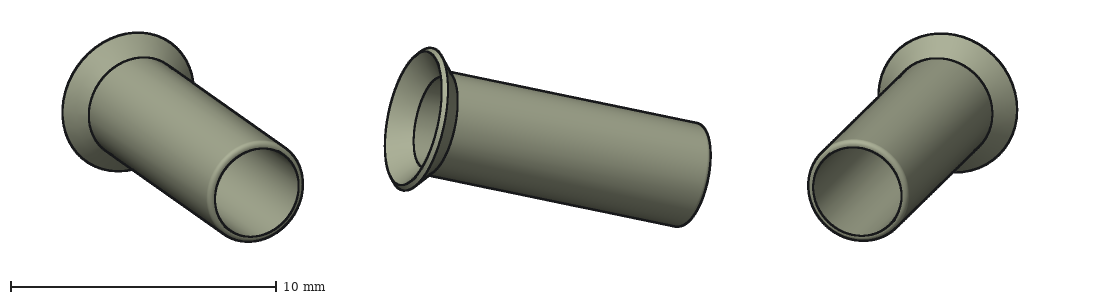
import cadquery as cq
import math

length = 11.5
flare_diameter = 5.5
tube_diameter = 4.0
wall = 0.25
tip_radius = 0.2

flare_radius = flare_diameter / 2
tube_radius = tube_diameter / 2
bore_radius = tube_radius - wall

rim_step = wall * math.sqrt(0.5)
mouth_radius = flare_radius - rim_step
flare_end = rim_step + flare_radius - tube_radius
bore_start = mouth_radius - bore_radius

arc_shift = tip_radius * math.sqrt(0.5)
tip_arc_middle = (length - tip_radius + arc_shift, tube_radius - tip_radius + arc_shift)

section = (
    cq.Workplane("XY")
    .moveTo(0, mouth_radius)
    .lineTo(rim_step, flare_radius)
    .lineTo(flare_end, tube_radius)
    .lineTo(length - tip_radius, tube_radius)
    .threePointArc(tip_arc_middle, (length, tube_radius - tip_radius))
    .lineTo(length, bore_radius)
    .lineTo(bore_start, bore_radius)
    .close()
)

result = section.revolve(360, (0, 0, 0), (1, 0, 0))